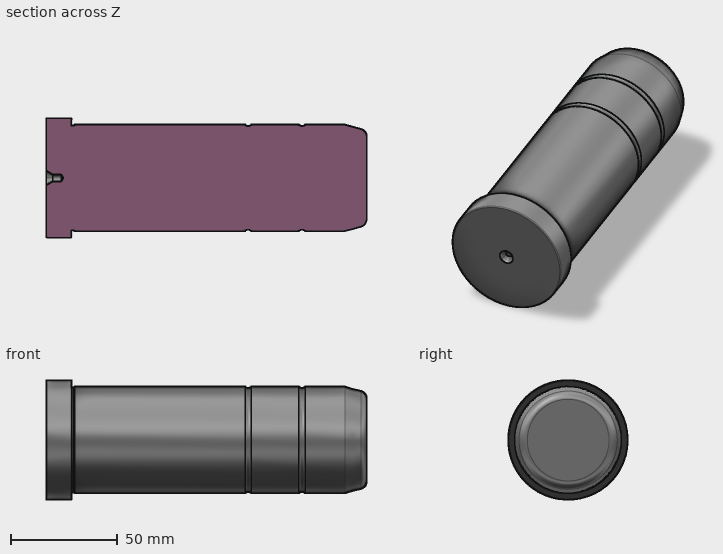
import cadquery as cq
import math

length = 150.0
head_diameter = 56.0
head_length = 12.0
head_round = 0.5
body_diameter = 50.0

relief_width = 1.5
relief_depth = 0.4
relief_run_out = 0.6

groove_starts = (93.0, 118.2)
groove_width = 3.0
groove_depth = 0.65

taper_start = 139.5
taper_angle = 15.0
tip_round = 4.0

centre_mouth_diameter = 6.7
centre_pilot_diameter = 3.15
centre_cone_angle = 60.0
centre_pilot_length = 4.0
drill_point_angle = 120.0

head_radius = head_diameter / 2
body_radius = body_diameter / 2


def revolve_about_axis(half_outline):
    """Turn a closed half outline into a solid around the X axis."""
    return half_outline.revolve(360, (0, 0, 0), (1, 0, 0))


def make_pin():
    """Revolve the half outline of the head, body, taper and tip."""
    relief_radius = body_radius - relief_depth
    relief_end = head_length + relief_width
    slope = math.radians(taper_angle)
    tip_round_start = length - tip_round * (1 - math.sin(slope))
    taper_length = tip_round_start - taper_start
    taper_end_radius = body_radius - taper_length * math.tan(slope)
    tip_face_radius = taper_end_radius - tip_round * math.cos(slope)
    outline = (
        cq.Workplane("XY")
        .lineTo(0, head_radius - head_round)
        .radiusArc((head_round, head_radius), head_round)
        .lineTo(head_length - head_round, head_radius)
        .radiusArc((head_length, head_radius - head_round), head_round)
        .lineTo(head_length, relief_radius)
        .lineTo(relief_end - relief_run_out, relief_radius)
        .lineTo(relief_end, body_radius)
        .lineTo(taper_start, body_radius)
        .lineTo(tip_round_start, taper_end_radius)
        .tangentArcPoint((length, tip_face_radius), relative=False)
        .lineTo(length, 0)
        .close()
    )
    return revolve_about_axis(outline)


def make_groove(start):
    """Ring with an arc-shaped bottom, to be cut from the body."""
    ring = (
        cq.Workplane("XY")
        .moveTo(start, body_radius)
        .threePointArc(
            (start + groove_width / 2, body_radius - groove_depth),
            (start + groove_width, body_radius),
        )
        .lineTo(start + groove_width, head_radius)
        .lineTo(start, head_radius)
        .close()
    )
    return revolve_about_axis(ring)


def make_centre_hole():
    """Conical mouth, short pilot bore and drill point."""
    mouth_radius = centre_mouth_diameter / 2
    pilot_radius = centre_pilot_diameter / 2
    cone_depth = (mouth_radius - pilot_radius) / math.tan(math.radians(centre_cone_angle / 2))
    pilot_end = cone_depth + centre_pilot_length
    point_depth = pilot_radius / math.tan(math.radians(drill_point_angle / 2))
    outline = (
        cq.Workplane("XY")
        .lineTo(0, mouth_radius)
        .lineTo(cone_depth, pilot_radius)
        .lineTo(pilot_end, pilot_radius)
        .lineTo(pilot_end + point_depth, 0)
        .close()
    )
    return revolve_about_axis(outline)


result = make_pin().cut(make_centre_hole())
for groove_start in groove_starts:
    result = result.cut(make_groove(groove_start))